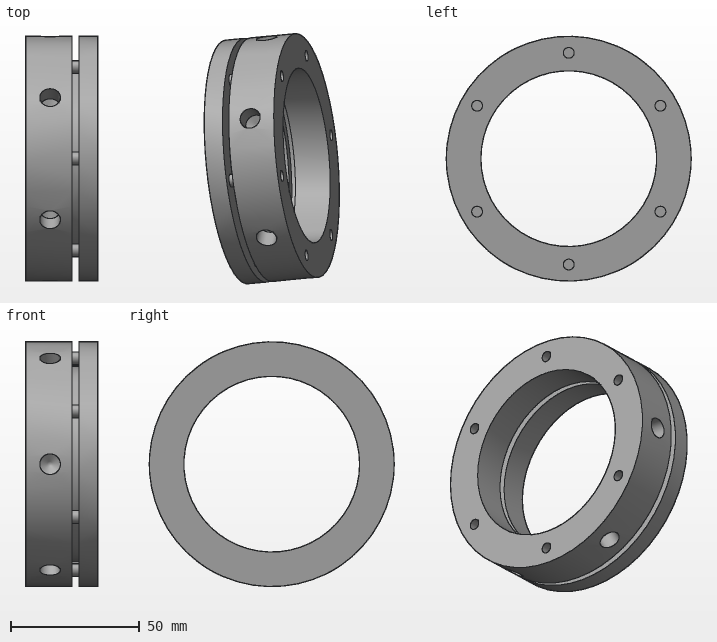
import cadquery as cq
import math

LENGTH = 28.0
OUTER_DIAMETER = 95.0
BORE_DIAMETER = 68.0

FLANGE_THICKNESS = 7.4
GAP_WIDTH = 2.6
NECK_DIAMETER = 76.0
GAP_END = LENGTH - FLANGE_THICKNESS
GAP_START = GAP_END - GAP_WIDTH

WEB_THICKNESS = 1.5
BORE_GROOVE_WIDTH = GAP_WIDTH
BORE_GROOVE_START = GAP_START - WEB_THICKNESS - BORE_GROOVE_WIDTH
BORE_GROOVE_DIAMETER = NECK_DIAMETER

HOLE_COUNT = 6
HOLE_PITCH = 360.0 / HOLE_COUNT
PIN_CIRCLE_RADIUS = 41.0
PIN_DIAMETER = 5.0
AXIAL_HOLE_DIAMETER = 4.2
PIN_START_ANGLE = HOLE_PITCH / 2

RADIAL_HOLE_X = 9.5
RADIAL_HOLE_DIAMETER = 8.0
RADIAL_HOLE_DEPTH = 8.0
DRILL_POINT_ANGLE = 118.0
RADIAL_START_ANGLE = 0.0


def hole_angles(start_angle):
    """Evenly spaced angles around the X axis, measured from +Y toward +Z."""
    return [start_angle + i * HOLE_PITCH for i in range(HOLE_COUNT)]


def disc(diameter, x_start, length):
    """Cylinder centred on the X axis."""
    return cq.Workplane("YZ", origin=(x_start, 0, 0)).circle(diameter / 2).extrude(length)


def tube(outer_diameter, inner_diameter, x_start, length):
    """Hollow cylinder centred on the X axis."""
    return disc(outer_diameter, x_start, length).cut(disc(inner_diameter, x_start, length))


def axial_rod(diameter, angle, x_start, length):
    """Cylinder parallel to X on the pin circle."""
    y = PIN_CIRCLE_RADIUS * math.cos(math.radians(angle))
    z = PIN_CIRCLE_RADIUS * math.sin(math.radians(angle))
    return disc(diameter, x_start, length).translate((0, y, z))


def radial_drill(angle):
    """Pointed drill shape that enters the rim toward the X axis."""
    hole_radius = RADIAL_HOLE_DIAMETER / 2
    rim_radius = OUTER_DIAMETER / 2
    shoulder_radius = rim_radius - RADIAL_HOLE_DEPTH
    point_length = hole_radius / math.tan(math.radians(DRILL_POINT_ANGLE / 2))
    profile = (
        cq.Workplane("XY")
        .moveTo(0, shoulder_radius - point_length)
        .lineTo(hole_radius, shoulder_radius)
        .lineTo(hole_radius, rim_radius)
        .lineTo(0, rim_radius)
        .close()
    )
    drill = profile.revolve(360, (0, 0, 0), (0, 1, 0)).translate((RADIAL_HOLE_X, 0, 0))
    return drill.rotate((0, 0, 0), (1, 0, 0), angle)


def make_ring_body():
    body = tube(OUTER_DIAMETER, BORE_DIAMETER, 0, LENGTH)

    body = body.cut(tube(OUTER_DIAMETER, NECK_DIAMETER, GAP_START, GAP_WIDTH))

    body = body.cut(disc(BORE_GROOVE_DIAMETER, BORE_GROOVE_START, BORE_GROOVE_WIDTH))

    for angle in hole_angles(PIN_START_ANGLE):
        body = body.cut(axial_rod(AXIAL_HOLE_DIAMETER, angle, 0, GAP_START))

    for angle in hole_angles(RADIAL_START_ANGLE):
        body = body.cut(radial_drill(angle))
    return body


def make_pin(angle):
    return axial_rod(PIN_DIAMETER, angle, GAP_START, GAP_WIDTH)


ring_body = make_ring_body()
pins = [make_pin(angle) for angle in hole_angles(PIN_START_ANGLE)]

result = cq.Compound.makeCompound([ring_body.val(), *[pin.val() for pin in pins]])